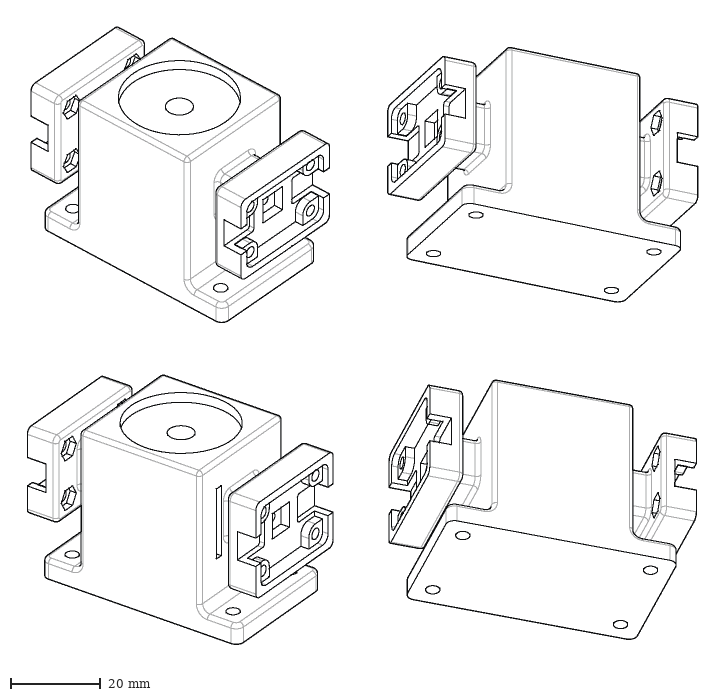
import cadquery as cq
import math

body_length = 33.0
body_width = 32.0
body_height = 41.0
base_length = 53.9
base_height = 5.0
base_corner_radius = 2.0
step_radius = 2.0
edge_radius = 1.0

base_hole_diameter = 3.2
base_hole_x = 22.0
base_hole_y = 11.0

seat_diameter = 27.25
seat_depth = 2.5
bore_top_diameter = 6.25
bore_bottom_diameter = 4.75
bore_floor_diameter = 2.7
bore_depth = 10.0

arm_z = 25.0
arm_size = 12.0
arm_corner_radius = 1.5
left_arm_length = 6.5
right_arm_length = 7.0
axis_hole_diameter = 2.0

plate_thickness = 8.0
plate_width = 29.9
left_plate_height = 24.5
right_plate_height = 22.25
plate_corner_radius = 1.5
rim = 2.0
pocket_depth = 3.7
pocket_corner_radius = 2.0

notch_height = 7.3
notch_length = 8.55
notch_depth = 5.05
notch_corner_radius = 0.75
window_size = 6.5
window_depth = 2.4
screw_hole_diameter = 2.7
boss_size = 5.3
boss_radius = 2.55
boss_recess = 1.5
boss_inset = boss_size - boss_radius
nut_flats = 5.0
nut_depth = 1.7

wall_slot_outer_y = 9.55
wall_slot_width = 1.75
wall_slot_height = 18.0
wall_slot_depth = 4.0


def block(x_start, x_end, y_size, z_size, y=0, z=0):
    """Box from x_start to x_end, centred on (y, z)."""
    box = cq.Workplane("XY").box(x_end - x_start, y_size, z_size)
    return box.translate(((x_start + x_end) / 2, y, z))


def make_housing():
    half_base = base_length / 2
    half_body = body_length / 2
    outline = [
        (-half_base, 0),
        (half_base, 0),
        (half_base, base_height),
        (half_body, base_height),
        (half_body, body_height),
        (-half_body, body_height),
        (-half_body, base_height),
        (-half_base, base_height),
    ]
    housing = cq.Workplane("XZ").polyline(outline).close().extrude(body_width / 2, both=True)
    steps = cq.selectors.BoxSelector(
        (-half_body - 0.6, -0.6, base_height - 0.6), (half_body + 0.6, 0.6, base_height + 0.6)
    )
    housing = housing.edges("|Y").edges(steps).fillet(step_radius)
    ends = cq.Workplane("XY").box(base_length, body_width, body_height, centered=(True, True, False))
    housing = housing.intersect(ends.edges("|Z").fillet(base_corner_radius))
    flange_ends = housing.faces("<X or >X").edges("|Y").edges(">Z")
    top_edges = housing.faces(">Z").edges()
    return housing.newObject(top_edges.vals() + flange_ends.vals()).fillet(edge_radius)


def make_arm(arm_length, plate_height):
    """Arm and bracket plate pointing along +X, with the arm axis at z = 0."""
    plate_back = body_length / 2 + arm_length
    face = plate_back + plate_thickness
    arm = block(0, plate_back + edge_radius, arm_size, arm_size)
    arm = arm.edges("|X").fillet(arm_corner_radius)
    plate = block(plate_back, face, plate_width, plate_height)
    plate = plate.edges("|X").fillet(plate_corner_radius)
    plate = plate.faces("<X").edges().fillet(edge_radius)
    return arm.union(plate)


def make_plate_cutter(arm_length, plate_height):
    """Everything removed from a plate, in the same position as make_arm."""
    plate_back = body_length / 2 + arm_length
    face = plate_back + plate_thickness
    floor = face - pocket_depth
    pocket_width = plate_width - 2 * rim
    pocket_height = plate_height - 2 * rim
    screw_y = pocket_width / 2 - boss_inset
    screw_z = pocket_height / 2 - boss_inset

    pocket = block(floor, face, pocket_width, pocket_height)
    pocket = pocket.edges("|X").fillet(pocket_corner_radius)
    window = block(floor - window_depth, floor, window_size, window_size)
    cutter = pocket.union(window)

    for side in (-1, 1):
        for level in (-1, 1):
            boss_y = side * (pocket_width - boss_size) / 2
            boss_z = level * (pocket_height - boss_size) / 2
            boss = block(floor, face - boss_recess, boss_size, boss_size, boss_y, boss_z)
            inner_corner = cq.selectors.NearestToPointSelector((floor, 0, 0))
            boss = boss.edges("|X").edges(inner_corner).fillet(boss_radius)
            cutter = cutter.cut(boss)

    for side in (-1, 1):
        notch_y = side * (plate_width - notch_length) / 2
        notch = block(face - notch_depth, face, notch_length, notch_height, notch_y)
        inner_edges = notch.edges("|X").edges("<Y" if side > 0 else ">Y")
        cutter = cutter.union(inner_edges.fillet(notch_corner_radius))

    screws = [(y, z) for y in (-screw_y, screw_y) for z in (-screw_z, screw_z)]
    back_plane = cq.Workplane("YZ", origin=(plate_back, 0, 0)).pushPoints(screws)
    holes = back_plane.circle(screw_hole_diameter / 2).extrude(plate_thickness)
    nut_traps = back_plane.polygon(6, nut_flats / math.cos(math.pi / 6)).extrude(nut_depth)
    return cutter.union(holes).union(nut_traps)


def place_arm(shape, side):
    """Move a +X arm shape to its height, mirrored for the left side."""
    if side < 0:
        shape = shape.mirror("YZ")
    return shape.translate((0, 0, arm_z))


def arm_joint_edges(arm_length, side):
    """Selector for the edges where an arm meets the block and its plate."""
    reach = arm_size / 2 + 0.3
    joint_ends = sorted((side * (body_length / 2 - 0.3), side * (body_length / 2 + arm_length + 0.3)))
    return cq.selectors.BoxSelector(
        (joint_ends[0], -reach, arm_z - reach), (joint_ends[1], reach, arm_z + reach)
    )


part = make_housing()
for side, arm_length, plate_height in (
    (-1, left_arm_length, left_plate_height),
    (1, right_arm_length, right_plate_height),
):
    part = part.union(place_arm(make_arm(arm_length, plate_height), side))
    joint = part.edges(arm_joint_edges(arm_length, side)).edges("not |X")
    part = joint.fillet(edge_radius)
    part = part.cut(place_arm(make_plate_cutter(arm_length, plate_height), side))

part = part.cut(
    cq.Workplane("YZ").center(0, arm_z).circle(axis_hole_diameter / 2).extrude(base_length, both=True)
)

part = part.cut(
    cq.Workplane("XY")
    .rect(2 * base_hole_x, 2 * base_hole_y, forConstruction=True)
    .vertices()
    .circle(base_hole_diameter / 2)
    .extrude(base_height)
)

seat_floor = body_height - seat_depth
bore_floor = seat_floor - bore_depth
floor_rounding = (bore_bottom_diameter - bore_floor_diameter) / 2
profile = (
    cq.Workplane("XZ")
    .moveTo(0, bore_floor)
    .lineTo(bore_floor_diameter / 2, bore_floor)
    .radiusArc((bore_bottom_diameter / 2, bore_floor + floor_rounding), -floor_rounding)
    .lineTo(bore_top_diameter / 2, seat_floor)
    .lineTo(seat_diameter / 2, seat_floor)
    .lineTo(seat_diameter / 2, body_height)
    .lineTo(0, body_height)
    .close()
)
part = part.cut(profile.revolve(360, (0, 0, 0), (0, 1, 0)))

slot_y = wall_slot_outer_y - wall_slot_width / 2
slot_end = -body_length / 2 + wall_slot_depth
part = part.cut(block(-body_length / 2, slot_end, wall_slot_width, wall_slot_height, slot_y, arm_z))

result = part